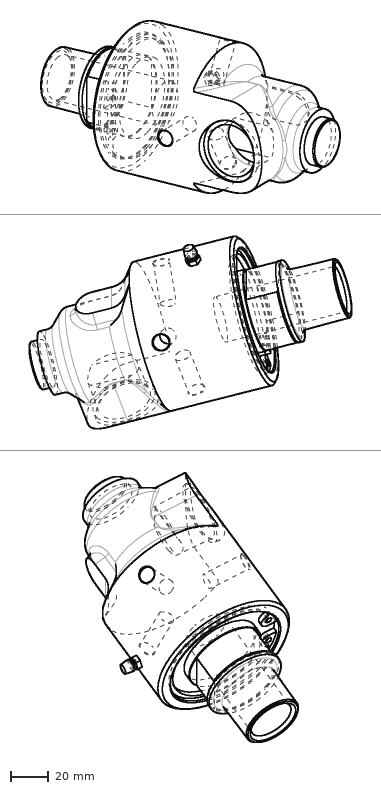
import cadquery as cq
import math

TOTAL_LENGTH = 172.3
TOTAL_DEPTH_Y = 92.0
BODY_DIAMETER = 82.5
BODY_RADIUS = BODY_DIAMETER / 2

SHAFT_TIP_RADIUS = 16.4
SHAFT_NECK_RADIUS = 16.7
SHAFT_TIP_CHAMFER = 0.7
NECK_FILLET = 3.3
FLANGE_START = 28.5
FLANGE_END = 30.7
FLANGE_RADIUS = 22.5
SHOULDER_DIAMETER = 44.6
SHOULDER_RADIUS = SHOULDER_DIAMETER / 2
SHOULDER_CHAMFER = 0.7
COLLAR_CHAMFER = 0.3
FLAT_OFFSET = 18.0
SHAFT_BORE_DIAMETER = 25.0
SHAFT_BORE_MOUTH_DIAMETER = 28.6
SHAFT_BORE_DEPTH = 69.0

BODY_START = 48.8
BODY_END = 107.0
BODY_CHAMFER = 1.7
BARREL_RADIUS = 26.7
BARREL_END = 147.5
BODY_CONE_ANGLE = math.radians(52)
BODY_BLEND_RADIUS = 11.5
TAIL_RADIUS = 17.5
TAIL_CONE_ANGLE = math.radians(45)
TAIL_ROUND = 6.0
TAIL_END = 166.1
STUB_RADIUS = 13.3
STUB_CHAMFER = 0.7

RECESS_DIAMETER = 68.0
RECESS_CHAMFER = 0.7
RECESS_FLOOR = 54.1
RING_FACE = 51.4
RING_INNER_RADIUS = 33.0
RING_OFFSET = 1.5
LUG_CENTRE_Y = -28.8
LUG_CENTRE_Z = 9.7
LUG_RADIUS = 4.7
LUG_HOLE_DIAMETER = 3.5
LUG_ARM_END_Z = 19.0

CORE_RADIUS = 17.2

ROOT_MARGIN = 1.7

TONGUE_START = 86.2
PORT_BOSS_CENTRE_X = 130.8
PORT_BOSS_RADIUS = 26.4
PORT_BOSS_FILLET = 2.5
PORT_X = 134.8
SPOTFACE_DIAMETER = 35.0
SPOTFACE_Y = -36.5
PORT_DIAMETER = 28.6
PORT_MOUTH_DIAMETER = 29.6
PORT_TAPER_END_Y = -19.0
PORT_FLOOR_STRIP = 18.0
PAD_TOP_RADIUS = 9.3
PAD_DRAFT = 20.0
PAD_ROOT_DEPTH = 5.2
PAD_Y = 31.5
PAD_FILLET = 4.3

DRAIN_X = 95.6
DRAIN_DIAMETER = 8.6
DRAIN_CHAMFER = 0.5
DRAIN_COUNT = 3

NIPPLE_X = 70.7
NIPPLE_HEX_ACROSS_CORNERS = 8.0
NIPPLE_HEX_HEIGHT = 2.5
NIPPLE_NECK_DIAMETER = 5.3
NIPPLE_HEAD_DIAMETER = 6.9
NIPPLE_TIP_DIAMETER = 5.7
NIPPLE_NECK_HEIGHT = 1.0
NIPPLE_HEAD_START = 1.9
NIPPLE_HEAD_END = 3.0
NIPPLE_EMBEDDED_DEPTH = 1.7


def disc(x_start, x_end, radius):
    """Cylinder on the X axis between two stations."""
    return cq.Workplane("YZ", origin=(x_start, 0, 0)).circle(radius).extrude(x_end - x_start)


def y_cylinder(x, y_start, y_end, radius):
    """Cylinder parallel to Y through (x, 0)."""
    plane = cq.Plane(origin=(x, y_start, 0), xDir=(1, 0, 0), normal=(0, 1, 0))
    return cq.Workplane(plane).circle(radius).extrude(y_end - y_start)


def y_cone(x, y_start, start_radius, y_end, end_radius):
    """Truncated cone parallel to Y through (x, 0)."""
    height = y_end - y_start
    return cq.Workplane(cq.Solid.makeCone(
        start_radius, end_radius, height, pnt=cq.Vector(x, y_start, 0), dir=cq.Vector(0, 1, 0)
    ))


def revolve_about_x(profile):
    """Close an outline drawn as (x, radius) and turn it about the X axis."""
    return profile.close().revolve(360, (0, 0, 0), (1, 0, 0))


def make_shaft():
    """Tapered shaft end, flange, shoulder with two wrench flats and the collar inside the recess."""
    neck_start = FLANGE_START - NECK_FILLET
    fillet_top_radius = SHAFT_NECK_RADIUS + NECK_FILLET
    arc_mid_offset = NECK_FILLET * math.sqrt(0.5)
    profile = (
        cq.Workplane("XY")
        .lineTo(0, SHAFT_TIP_RADIUS - SHAFT_TIP_CHAMFER)
        .lineTo(SHAFT_TIP_CHAMFER, SHAFT_TIP_RADIUS)
        .lineTo(neck_start, SHAFT_NECK_RADIUS)
        .threePointArc(
            (neck_start + arc_mid_offset, fillet_top_radius - arc_mid_offset),
            (FLANGE_START, fillet_top_radius),
        )
        .lineTo(FLANGE_START, FLANGE_RADIUS)
        .lineTo(FLANGE_END, FLANGE_RADIUS)
        .lineTo(FLANGE_END, SHOULDER_RADIUS - SHOULDER_CHAMFER)
        .lineTo(FLANGE_END + SHOULDER_CHAMFER, SHOULDER_RADIUS)
        .lineTo(BODY_START, SHOULDER_RADIUS)
        .lineTo(BODY_START + COLLAR_CHAMFER, FLANGE_RADIUS)
        .lineTo(RECESS_FLOOR, FLANGE_RADIUS)
        .lineTo(RECESS_FLOOR, 0)
    )
    shaft = revolve_about_x(profile)
    flat_length = BODY_START - FLANGE_END
    for side in (-1, 1):
        flat_cut = cq.Workplane("XY").box(flat_length, SHOULDER_RADIUS, 2 * SHOULDER_RADIUS).translate(
            ((FLANGE_END + BODY_START) / 2, side * (FLAT_OFFSET + SHOULDER_RADIUS / 2), 0)
        )
        shaft = shaft.cut(flat_cut)
    return shaft


def body_blend(plateau_radius):
    """Outline points of the cone behind the body and its concave arc onto a plateau.

    Returns the tangent point on the cone, the middle of the arc and its end on the plateau.
    """
    half_angle = BODY_CONE_ANGLE / 2
    start_radius = plateau_radius + BODY_BLEND_RADIUS * (1 - math.cos(BODY_CONE_ANGLE))
    start_x = BODY_END + (BODY_RADIUS - start_radius) / math.tan(BODY_CONE_ANGLE)
    end_x = start_x + BODY_BLEND_RADIUS * math.sin(BODY_CONE_ANGLE)
    middle = (
        end_x - BODY_BLEND_RADIUS * math.sin(half_angle),
        plateau_radius + BODY_BLEND_RADIUS * (1 - math.cos(half_angle)),
    )
    return (start_x, start_radius), middle, (end_x, plateau_radius)


def make_housing():
    """Turned housing: body, barrel, tail and end stub."""
    blend_start, blend_middle, blend_end = body_blend(BARREL_RADIUS)

    half_angle = TAIL_CONE_ANGLE / 2
    mid_x = TAIL_ROUND * math.sin(half_angle)
    mid_r = TAIL_ROUND * (1 - math.cos(half_angle))
    end_x = TAIL_ROUND * math.sin(TAIL_CONE_ANGLE)
    end_r = TAIL_ROUND * (1 - math.cos(TAIL_CONE_ANGLE))
    straight_drop = BARREL_RADIUS - TAIL_RADIUS - 2 * end_r
    tail_start = BARREL_END + 2 * end_x + straight_drop / math.tan(TAIL_CONE_ANGLE)

    profile = (
        cq.Workplane("XY")
        .moveTo(BODY_START, 0)
        .lineTo(BODY_START, BODY_RADIUS - BODY_CHAMFER)
        .lineTo(BODY_START + BODY_CHAMFER, BODY_RADIUS)
        .lineTo(BODY_END, BODY_RADIUS)
        .lineTo(*blend_start)
        .threePointArc(blend_middle, blend_end)
        .lineTo(BARREL_END, BARREL_RADIUS)
        .threePointArc(
            (BARREL_END + mid_x, BARREL_RADIUS - mid_r),
            (BARREL_END + end_x, BARREL_RADIUS - end_r),
        )
        .lineTo(tail_start - end_x, TAIL_RADIUS + end_r)
        .threePointArc((tail_start - mid_x, TAIL_RADIUS + mid_r), (tail_start, TAIL_RADIUS))
        .lineTo(TAIL_END, TAIL_RADIUS)
        .lineTo(TAIL_END, STUB_RADIUS)
        .lineTo(TOTAL_LENGTH - STUB_CHAMFER, STUB_RADIUS)
        .lineTo(TOTAL_LENGTH, STUB_RADIUS - STUB_CHAMFER)
        .lineTo(TOTAL_LENGTH, 0)
    )
    return revolve_about_x(profile)


def tongue(radius, y_start, height, taper=0):
    """Bar along X with half-round ends centred inside the body and at the port boss centre.

    It is raised from y_start along -Y, or along +Y for a negative height.
    """
    length = PORT_BOSS_CENTRE_X - TONGUE_START
    middle_x = (PORT_BOSS_CENTRE_X + TONGUE_START) / 2
    plane = cq.Plane(origin=(middle_x, y_start, 0), xDir=(1, 0, 0), normal=(0, -1, 0))
    return cq.Workplane(plane).slot2D(length + 2 * radius, 2 * radius).extrude(height, taper=taper)


def add_port_boss(housing):
    """Boss for the side port, flush with the body cylinder and filleted at its root."""
    envelope = disc(BODY_START + BODY_CHAMFER, TOTAL_LENGTH, BODY_RADIUS)
    boss = tongue(PORT_BOSS_RADIUS, 0, BODY_RADIUS).intersect(envelope)
    boss_corner_y = -math.sqrt(BODY_RADIUS**2 - PORT_BOSS_RADIUS**2)
    root_zone = cq.selectors.BoxSelector(
        (BODY_END, boss_corner_y + ROOT_MARGIN, -BODY_RADIUS),
        (TOTAL_LENGTH, -ROOT_MARGIN, BODY_RADIUS),
    )
    root_edges = housing.union(boss).edges(root_zone).edges("not %LINE")
    return root_edges.fillet(PORT_BOSS_FILLET)


def add_pad(housing):
    """Pad with drafted sides whose top runs into the body cone through a concave arc."""
    blend_start, blend_middle, blend_end = body_blend(PAD_Y)
    pad_side = (
        cq.Workplane("XY")
        .moveTo(BODY_END, 0)
        .lineTo(BODY_END, BODY_RADIUS)
        .lineTo(*blend_start)
        .threePointArc(blend_middle, blend_end)
        .lineTo(BARREL_END, PAD_Y)
        .lineTo(BARREL_END, 0)
        .close()
        .extrude(BARREL_RADIUS, both=True)
    )
    root_y = BARREL_RADIUS - PAD_ROOT_DEPTH
    root_radius = PAD_TOP_RADIUS + (PAD_Y - root_y) * math.tan(math.radians(PAD_DRAFT))
    drafted = tongue(root_radius, root_y, root_y - BODY_RADIUS, PAD_DRAFT)

    barrel_start = TONGUE_START - BARREL_RADIUS
    barrel = disc(barrel_start, BARREL_END, BARREL_RADIUS)
    on_barrel = barrel.union(drafted)
    root_zone = cq.selectors.BoxSelector(
        (barrel_start + ROOT_MARGIN, ROOT_MARGIN, -BARREL_RADIUS),
        (BARREL_END - ROOT_MARGIN, PAD_Y - ROOT_MARGIN, BARREL_RADIUS),
    )
    filleted = on_barrel.edges(root_zone).edges("%BSPLINE").fillet(PAD_FILLET)
    return housing.union(filleted.intersect(pad_side))


def cut_recess(housing):
    """Shallow chamfered recess in the front face of the body."""
    radius = RECESS_DIAMETER / 2
    profile = (
        cq.Workplane("XY")
        .moveTo(BODY_START, 0)
        .lineTo(BODY_START, radius + RECESS_CHAMFER)
        .lineTo(BODY_START + RECESS_CHAMFER, radius)
        .lineTo(RECESS_FLOOR, radius)
        .lineTo(RECESS_FLOOR, 0)
    )
    return housing.cut(revolve_about_x(profile))


def make_retaining_ring():
    """Eccentric retaining ring, open toward -Y, with a drilled lug at each end."""
    recess = disc(RING_FACE, RECESS_FLOOR, RECESS_DIAMETER / 2)
    opening = disc(RING_FACE, RECESS_FLOOR, RING_INNER_RADIUS).translate((0, -RING_OFFSET, 0))
    ring = recess.cut(opening)
    arm_start_z = LUG_CENTRE_Z - LUG_RADIUS
    arm_height = LUG_ARM_END_Z - arm_start_z
    arm_depth = RECESS_DIAMETER / 2 + LUG_CENTRE_Y
    for side in (-1, 1):
        arm = cq.Workplane("XY").box(RECESS_FLOOR - RING_FACE, arm_depth, arm_height).translate(
            (
                (RING_FACE + RECESS_FLOOR) / 2,
                LUG_CENTRE_Y - arm_depth / 2,
                side * (arm_start_z + LUG_ARM_END_Z) / 2,
            )
        )
        lug_offset = (0, LUG_CENTRE_Y, side * LUG_CENTRE_Z)
        lug = disc(RING_FACE, RECESS_FLOOR, LUG_RADIUS).translate(lug_offset)
        lug_hole = disc(RING_FACE, RECESS_FLOOR, LUG_HOLE_DIAMETER / 2).translate(lug_offset)
        ring = ring.union(arm.union(lug).intersect(recess)).cut(lug_hole)
    return ring


def cut_side_port(body):
    """Spot-faced blind port whose flat floor is crossed by a strip of the round core."""
    floor_y = -math.sqrt(CORE_RADIUS**2 - (PORT_FLOOR_STRIP / 2) ** 2)
    spotface = y_cylinder(PORT_X, -BODY_RADIUS, SPOTFACE_Y, SPOTFACE_DIAMETER / 2)
    hole = y_cylinder(PORT_X, SPOTFACE_Y, floor_y, PORT_DIAMETER / 2)
    taper = y_cone(PORT_X, SPOTFACE_Y, PORT_MOUTH_DIAMETER / 2, PORT_TAPER_END_Y, PORT_DIAMETER / 2)
    core = disc(PORT_X - PORT_DIAMETER, PORT_X + PORT_DIAMETER, CORE_RADIUS)
    return body.cut(spotface).cut(taper).cut(hole.cut(core))


def cut_drain_holes(body):
    """Equally spaced radial holes down to the core, each with a chamfered mouth."""
    core = disc(BODY_START, BODY_END, CORE_RADIUS)
    hole = y_cylinder(DRAIN_X, -BODY_RADIUS, 0, DRAIN_DIAMETER / 2).cut(core)
    mouth_radius = DRAIN_DIAMETER / 2 + DRAIN_CHAMFER
    hole = hole.union(y_cone(DRAIN_X, -BODY_RADIUS, mouth_radius, mouth_radius - BODY_RADIUS, 0))
    for index in range(DRAIN_COUNT):
        body = body.cut(hole.rotate((0, 0, 0), (1, 0, 0), index * 360 / DRAIN_COUNT))
    return body


def cut_shaft_bore(body):
    """Blind bore in the shaft end with a chamfered mouth."""
    bore_radius = SHAFT_BORE_DIAMETER / 2
    mouth_radius = SHAFT_BORE_MOUTH_DIAMETER / 2
    profile = (
        cq.Workplane("XY")
        .lineTo(0, mouth_radius)
        .lineTo(mouth_radius - bore_radius, bore_radius)
        .lineTo(SHAFT_BORE_DEPTH, bore_radius)
        .lineTo(SHAFT_BORE_DEPTH, 0)
    )
    return body.cut(revolve_about_x(profile))


def make_grease_nipple():
    """Hexagon and turned head of the grease nipple on the +Y side of the body."""
    base_y = BODY_RADIUS + NIPPLE_HEX_HEIGHT
    tip_height = TOTAL_DEPTH_Y - BODY_RADIUS - base_y
    hex_start = BODY_RADIUS - NIPPLE_EMBEDDED_DEPTH
    hex_plane = cq.Plane(origin=(NIPPLE_X, hex_start, 0), xDir=(1, 0, 0), normal=(0, 1, 0))
    hexagon = cq.Workplane(hex_plane).polygon(6, NIPPLE_HEX_ACROSS_CORNERS).extrude(base_y - hex_start)
    profile = (
        cq.Workplane("XY", origin=(NIPPLE_X, base_y, 0))
        .lineTo(NIPPLE_NECK_DIAMETER / 2, 0)
        .lineTo(NIPPLE_NECK_DIAMETER / 2, NIPPLE_NECK_HEIGHT)
        .lineTo(NIPPLE_HEAD_DIAMETER / 2, NIPPLE_HEAD_START)
        .lineTo(NIPPLE_HEAD_DIAMETER / 2, NIPPLE_HEAD_END)
        .lineTo(NIPPLE_TIP_DIAMETER / 2, tip_height)
        .lineTo(0, tip_height)
        .close()
    )
    head = profile.revolve(360, (0, 0, 0), (0, 1, 0))
    return hexagon.union(head)


housing = add_pad(add_port_boss(make_housing()))
housing = cut_recess(housing)
body = housing.union(make_shaft()).union(make_retaining_ring())
body = cut_shaft_bore(body)
body = cut_side_port(body)
body = cut_drain_holes(body)
result = body.union(make_grease_nipple())